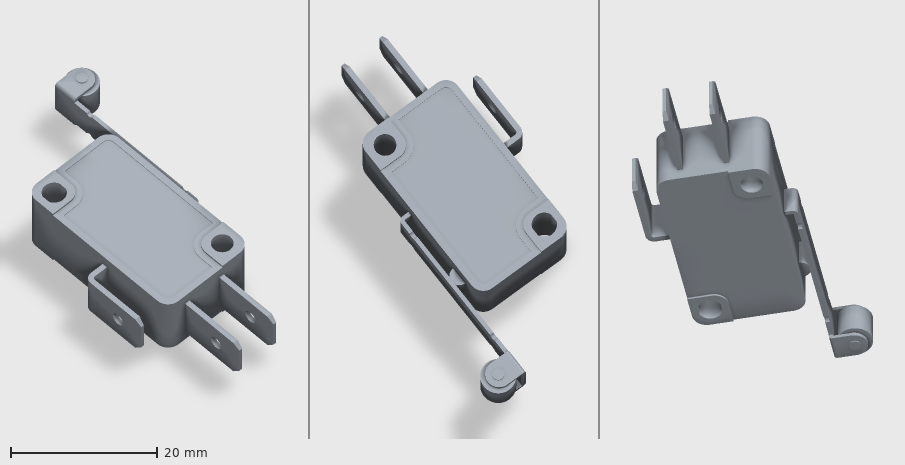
import cadquery as cq


OVERALL_LENGTH = 50.9
OVERALL_WIDTH = 26.3

HOUSING_LENGTH = 28.0
HOUSING_WIDTH = 15.85
CORNER_RADIUS = 2.05
HALF_HEIGHT = 4.85
PAD_HEIGHT = 0.3
PAD_SIZE = 5.4
PAD_RADIUS = 2.05
COVER_SEAM_Z = 2.1
HALF_LENGTH = HOUSING_LENGTH / 2
HALF_WIDTH = HOUSING_WIDTH / 2

MOUNT_INSET_X = 2.85
MOUNT_INSET_Y = 2.7
ROUND_HOLE_DIAMETER = 3.1
FLATTED_HOLE_LENGTH = 3.45
FLATTED_HOLE_WIDTH = 3.2

PANEL_MARGIN = 1.0
PANEL_DEPTH = 0.1

BLADE_WIDTH = 6.3
BLADE_THICKNESS = 0.8
BLADE_HOLE_DIAMETER = 2.0
STRAIGHT_END_X = 24.55
STRAIGHT_HOLE_X = 20.1
TIP_LENGTH = 1.0
TIP_CORNER = 0.9
TIP_TAPER = 0.15
NC_Y = 2.3
NO_Y = -4.25
COM_END_X = 12.25
COM_HOLE_X = 7.85
COM_LEG_X = 1.2
COM_OUTER_Y = -11.45
COM_BEND_RADIUS = 1.2

ROLLER_DIAMETER = 4.95
ROLLER_WIDTH = 4.5
ROLLER_X = STRAIGHT_END_X - OVERALL_LENGTH + ROLLER_DIAMETER / 2
ROLLER_Y = COM_OUTER_Y + OVERALL_WIDTH - ROLLER_DIAMETER / 2
BRACKET_LENGTH = 3.8
CHEEK_REACH = 1.8
BRACKET_SPAN = 6.0
CHEEK_THICKNESS = 0.5
BRACKET_OUTER_RADIUS = 0.5
BRACKET_INNER_RADIUS = 0.1
PIN_DIAMETER = 1.4
PIN_HEAD_DIAMETER = 1.7
PIN_HEAD_HEIGHT = 0.15

LEVER_WIDTH = 4.5
LEVER_THICKNESS = 0.6
LEVER_UNDERSIDE_Y = 9.1
LEVER_END_X = 2.3
LEVER_BEND_RADIUS = 0.75
NOTCH_RADIUS = 0.55
NOTCH_DEPTH = 0.35
NOTCH_X = (-19.05, -0.8)

PLUNGER_X = -9.15
PLUNGER_RADIUS = 1.35
PLUNGER_WIDTH = 4.1


def box(x_min, x_max, y_min, y_max, z_min, z_max):
    size = (x_max - x_min, y_max - y_min, z_max - z_min)
    return cq.Workplane("XY").box(*size, centered=False).translate((x_min, y_min, z_min))


def centred_extrude(profile, width):
    return profile.extrude(width / 2, both=True)


def cylinder(x, y, diameter, width):
    """Cylinder along Z, centred on the mid plane."""
    return centred_extrude(cq.Workplane("XY").center(x, y).circle(diameter / 2), width)


def housing_block(z_min, z_max, margin=0.0):
    """Rounded housing outline, set in by a margin, between two heights."""
    block = box(margin - HALF_LENGTH, HALF_LENGTH - margin,
                margin - HALF_WIDTH, HALF_WIDTH - margin, z_min, z_max)
    return block.edges("|Z").fillet(CORNER_RADIUS - margin)


def pad_zone(side, z_min, z_max, margin=0.0):
    """Block over one mounting corner: side is 1 for +X+Y, -1 for -X-Y."""
    reach = PAD_SIZE + margin
    zone = box(-HALF_LENGTH, reach - HALF_LENGTH, -HALF_WIDTH, reach - HALF_WIDTH, z_min, z_max)
    zone = zone.edges("|Z and >X and >Y").fillet(PAD_RADIUS + margin)
    return zone if side < 0 else zone.rotate((0, 0, 0), (0, 0, 1), 180)


def mounting_holes():
    height = 3 * HALF_HEIGHT
    x = HALF_LENGTH - MOUNT_INSET_X
    y = HALF_WIDTH - MOUNT_INSET_Y
    flats = cq.Workplane("XY").box(FLATTED_HOLE_LENGTH, FLATTED_HOLE_WIDTH, height).translate((-x, -y, 0))
    flatted_hole = cylinder(-x, -y, FLATTED_HOLE_LENGTH, height).intersect(flats)
    return cylinder(x, y, ROUND_HOLE_DIAMETER, height).union(flatted_hole)


def housing_part(z_min, z_max, pad_z_min, pad_z_max):
    """One half of the housing with its two mounting pads and holes."""
    part = housing_block(z_min, z_max)
    pad_outline = housing_block(pad_z_min, pad_z_max)
    for side in (1, -1):
        part = part.union(pad_outline.intersect(pad_zone(side, pad_z_min, pad_z_max)))
    return part.cut(mounting_holes())


def make_cover():
    pad_top = HALF_HEIGHT + PAD_HEIGHT
    panel_floor = HALF_HEIGHT - PANEL_DEPTH
    cover = housing_part(COVER_SEAM_Z, HALF_HEIGHT, HALF_HEIGHT, pad_top)
    panel = housing_block(panel_floor, HALF_HEIGHT, PANEL_MARGIN)
    for side in (1, -1):
        panel = panel.cut(pad_zone(side, panel_floor, HALF_HEIGHT, PANEL_MARGIN))
    return cover.cut(panel)


def finish_blade(blade, end_x, hole_x, y):
    """Cut the tip corners and taper, and drill the hole, of a blade ending at end_x."""
    half_width = BLADE_WIDTH / 2
    half_thickness = BLADE_THICKNESS / 2
    tip_x = end_x - TIP_LENGTH
    for side in (1, -1):
        corner = (
            cq.Workplane("XZ", origin=(0, y, 0))
            .moveTo(tip_x, side * half_width)
            .lineTo(end_x, side * half_width)
            .lineTo(end_x, side * (half_width - TIP_CORNER))
            .close()
        )
        taper = (
            cq.Workplane("XY")
            .moveTo(tip_x, y + side * half_thickness)
            .lineTo(end_x, y + side * half_thickness)
            .lineTo(end_x, y + side * (half_thickness - TIP_TAPER))
            .close()
        )
        blade = blade.cut(centred_extrude(corner, BLADE_THICKNESS))
        blade = blade.cut(centred_extrude(taper, BLADE_WIDTH))
    hole = (
        cq.Workplane("XZ", origin=(hole_x, y, 0))
        .circle(BLADE_HOLE_DIAMETER / 2)
        .extrude(BLADE_THICKNESS, both=True)
    )
    return blade.cut(hole)


def straight_terminal(y):
    """NC or NO terminal: a flat blade out of the +X face."""
    blade = box(HALF_LENGTH, STRAIGHT_END_X, y - BLADE_THICKNESS / 2, y + BLADE_THICKNESS / 2,
                -BLADE_WIDTH / 2, BLADE_WIDTH / 2)
    return finish_blade(blade, STRAIGHT_END_X, STRAIGHT_HOLE_X, y)


def bent_terminal():
    """COM terminal: a leg out of the -Y face, bent toward +X."""
    inner_x = COM_LEG_X + BLADE_THICKNESS
    inner_y = COM_OUTER_Y + BLADE_THICKNESS
    blade = box(COM_LEG_X, COM_END_X, COM_OUTER_Y, -HALF_WIDTH, -BLADE_WIDTH / 2, BLADE_WIDTH / 2)
    blade = blade.edges("|Z and <X and <Y").fillet(COM_BEND_RADIUS)
    inside = box(inner_x, COM_END_X, inner_y, -HALF_WIDTH, -BLADE_WIDTH / 2, BLADE_WIDTH / 2)
    inside = inside.edges("|Z and <X and <Y").fillet(COM_BEND_RADIUS - BLADE_THICKNESS)
    return finish_blade(blade.cut(inside), COM_END_X, COM_HOLE_X, COM_OUTER_Y + BLADE_THICKNESS / 2)


def make_lever():
    """Flat strap with a tang bent down to the housing and notched edges."""
    half_width = LEVER_WIDTH / 2
    top_y = LEVER_UNDERSIDE_Y + LEVER_THICKNESS
    start_x = ROLLER_X + BRACKET_LENGTH / 2
    strap = box(start_x, LEVER_END_X, HALF_WIDTH, top_y, -half_width, half_width)
    strap = strap.edges("|Z and >X and >Y").fillet(LEVER_BEND_RADIUS)
    inside = box(start_x, LEVER_END_X - LEVER_THICKNESS, HALF_WIDTH, LEVER_UNDERSIDE_Y,
                 -half_width, half_width)
    inside = inside.edges("|Z and >X and >Y").fillet(LEVER_BEND_RADIUS - LEVER_THICKNESS)
    strap = strap.cut(inside)
    notch_z = half_width - NOTCH_DEPTH + NOTCH_RADIUS
    notches = (
        cq.Workplane("XZ", origin=(0, top_y, 0))
        .pushPoints([(x, z) for x in NOTCH_X for z in (notch_z, -notch_z)])
        .circle(NOTCH_RADIUS)
        .extrude(LEVER_THICKNESS)
    )
    return strap.cut(notches)


def make_bracket():
    """U-shaped bracket with round-ended cheeks either side of the roller."""
    half_length = BRACKET_LENGTH / 2
    outline = centred_extrude(
        cq.Workplane("XY")
        .moveTo(ROLLER_X - half_length, LEVER_UNDERSIDE_Y)
        .lineTo(ROLLER_X + half_length, LEVER_UNDERSIDE_Y)
        .lineTo(ROLLER_X + half_length, ROLLER_Y)
        .threePointArc((ROLLER_X, ROLLER_Y + CHEEK_REACH), (ROLLER_X - half_length, ROLLER_Y))
        .close(),
        BRACKET_SPAN,
    ).edges("|X and <Y").fillet(BRACKET_OUTER_RADIUS)
    inner_half_span = BRACKET_SPAN / 2 - CHEEK_THICKNESS
    inside = box(ROLLER_X - half_length, ROLLER_X + half_length,
                 LEVER_UNDERSIDE_Y + LEVER_THICKNESS, ROLLER_Y + CHEEK_REACH,
                 -inner_half_span, inner_half_span)
    return outline.cut(inside.edges("|X and <Y").fillet(BRACKET_INNER_RADIUS))


def make_roller_and_pin():
    roller = cylinder(ROLLER_X, ROLLER_Y, ROLLER_DIAMETER, ROLLER_WIDTH)
    roller = roller.union(cylinder(ROLLER_X, ROLLER_Y, PIN_DIAMETER, BRACKET_SPAN))
    for side in (1, -1):
        head = (
            cq.Workplane("XY", origin=(ROLLER_X, ROLLER_Y, side * BRACKET_SPAN / 2))
            .circle(PIN_HEAD_DIAMETER / 2)
            .extrude(side * PIN_HEAD_HEIGHT)
        )
        roller = roller.union(head)
    return roller


def make_plunger():
    """Half-round button, cut off where it meets the lever."""
    button = cylinder(PLUNGER_X, HALF_WIDTH, 2 * PLUNGER_RADIUS, PLUNGER_WIDTH)
    exposed = box(PLUNGER_X - PLUNGER_RADIUS, PLUNGER_X + PLUNGER_RADIUS, HALF_WIDTH, LEVER_UNDERSIDE_Y,
                  -PLUNGER_WIDTH / 2, PLUNGER_WIDTH / 2)
    return button.intersect(exposed)


def make_base():
    """Housing base carrying the terminals, plunger, lever and roller."""
    base = housing_part(-HALF_HEIGHT, COVER_SEAM_Z, -HALF_HEIGHT - PAD_HEIGHT, -HALF_HEIGHT)
    attachments = (
        straight_terminal(NC_Y),
        straight_terminal(NO_Y),
        bent_terminal(),
        make_plunger(),
        make_lever(),
        make_bracket(),
        make_roller_and_pin(),
    )
    for attachment in attachments:
        base = base.union(attachment)
    return base


base = make_base()
cover = make_cover()

result = cq.Compound.makeCompound([base.solids().val(), cover.solids().val()])